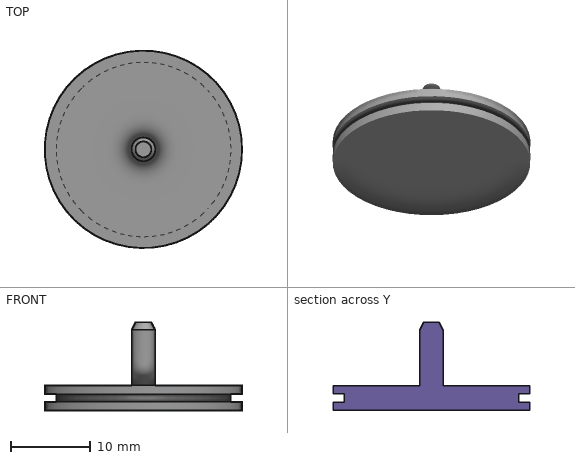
import cadquery as cq

disc_diameter = 25
groove_floor_diameter = 22.1
flange_thickness = 1.1
groove_width = 1
disc_thickness = 2 * flange_thickness + groove_width

pin_diameter = 3
pin_length = 8
tip_height = 1
tip_inset = 0.5


def make_grooved_disc():
    """Disc standing on Z = 0 with a groove halfway up its rim."""
    return (
        cq.Workplane("XY")
        .circle(disc_diameter / 2)
        .extrude(flange_thickness)
        .faces(">Z")
        .workplane()
        .circle(groove_floor_diameter / 2)
        .extrude(groove_width)
        .faces(">Z")
        .workplane()
        .circle(disc_diameter / 2)
        .extrude(flange_thickness)
    )


def make_pin():
    """Upright pin revolved about Z, narrowing to a flat tip."""
    radius = pin_diameter / 2
    top = disc_thickness + pin_length
    return (
        cq.Workplane("XZ")
        .moveTo(0, disc_thickness)
        .lineTo(radius, disc_thickness)
        .lineTo(radius, top - tip_height)
        .lineTo(radius - tip_inset, top)
        .lineTo(0, top)
        .close()
        .revolve(360, (0, 0, 0), (0, 1, 0))
    )


result = make_grooved_disc().union(make_pin())